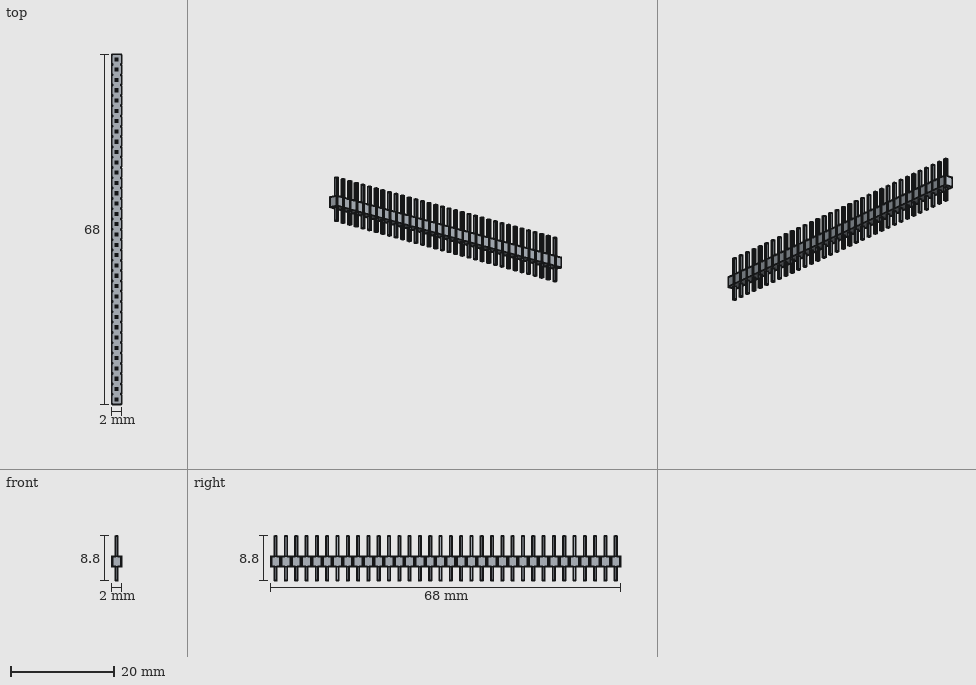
import cadquery as cq

pin_count = 34
row_length = 68.0
pitch = row_length / pin_count

body_width = 2.0
body_height = 2.0
corner_chamfer = 0.2

pin_width = 0.5
pin_above_body = 4.0
pin_below_body = 2.8
pin_length = pin_below_body + body_height + pin_above_body
tip_width = 0.25
tip_length = 0.1


def pin_center_y(index):
    """Y position of a pin in a row centred on the origin."""
    return (index - (pin_count - 1) / 2) * pitch


def make_body():
    """Housing bar with a V notch on both sides between neighbouring pins."""
    half_width = body_width / 2
    half_pitch = pitch / 2
    left_side = []
    for index in range(pin_count):
        center = pin_center_y(index)
        left_side += [
            (-half_width + corner_chamfer, center - half_pitch),
            (-half_width, center - half_pitch + corner_chamfer),
            (-half_width, center + half_pitch - corner_chamfer),
        ]
    left_side.append((-half_width + corner_chamfer, row_length / 2))
    right_side = [(-x, y) for x, y in reversed(left_side)]
    return cq.Workplane("XY").polyline(left_side + right_side).close().extrude(body_height)


def make_tip(base_z, direction):
    """Truncated pyramid that narrows from base_z up (1) or down (-1)."""
    return (
        cq.Workplane("XY", origin=(0, 0, base_z))
        .rect(pin_width, pin_width)
        .workplane(offset=direction * tip_length)
        .rect(tip_width, tip_width)
        .loft(ruled=True)
    )


def make_pin():
    """Pin on the Z axis, reaching through the housing."""
    shank_bottom = -pin_below_body + tip_length
    shank_length = pin_length - 2 * tip_length
    shank = cq.Workplane("XY", origin=(0, 0, shank_bottom)).rect(pin_width, pin_width).extrude(shank_length)
    upper_tip = make_tip(shank_bottom + shank_length, 1)
    lower_tip = make_tip(shank_bottom, -1)
    return shank.union(upper_tip).union(lower_tip)


pin = make_pin().val()
result = make_body()
for pin_index in range(pin_count):
    result = result.union(cq.Workplane(pin.translate(cq.Vector(0, pin_center_y(pin_index), 0))))